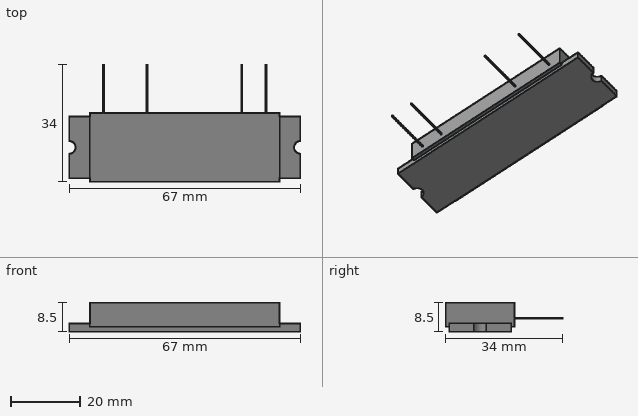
import cadquery as cq

flange_length = 67.0
flange_width = 18.0
flange_thickness = 2.5
notch_radius = 1.8

body_length = 55.0
body_width = 19.95
body_bottom = 1.5
body_top = 8.5

lead_diameter = 0.4
lead_length = 14.0
lead_height = 3.95
lead_positions = (-23.5, -11.0, 16.5, 23.5)


def make_flange():
    """Flat plate with a half-round screw notch in the middle of each end."""
    plate = cq.Workplane("XY").rect(flange_length, flange_width).extrude(flange_thickness)
    notches = (
        cq.Workplane("XY")
        .pushPoints([(-flange_length / 2, 0), (flange_length / 2, 0)])
        .circle(notch_radius)
        .extrude(flange_thickness)
    )
    return plate.cut(notches)


def make_body():
    """Plain rectangular block centred over the flange."""
    return (
        cq.Workplane("XY", origin=(0, 0, body_bottom))
        .rect(body_length, body_width)
        .extrude(body_top - body_bottom)
    )


def make_lead(position):
    """Straight round wire running from the housing axis out along +Y."""
    reach = body_width / 2 + lead_length
    return (
        cq.Workplane("XZ", origin=(position, 0, lead_height))
        .circle(lead_diameter / 2)
        .extrude(-reach)
    )


result = make_flange().union(make_body())
for lead_position in lead_positions:
    result = result.union(make_lead(lead_position))